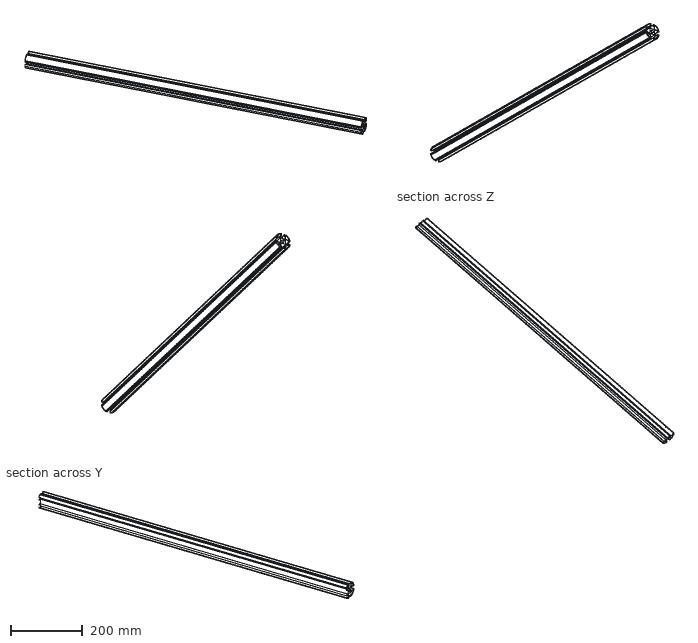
import math

import cadquery as cq

length = 1000.0
width = 45.0
half_width = width / 2
corner_radius = 24.0

side_count = 4
slot_opening = 9.2
chamber_width = 13.8
slot_floor = 8.0
lip_inner = 17.25
chamber_fillet = 2.0
lip_fillet = 1.0

side_wall = 1.3
outer_wall = 1.4
cell_inner = chamber_width / 2 + side_wall
cell_outer_radius = corner_radius - outer_wall
cell_fillet = 1.0

bore_diameter = 7.5

select_margin = 0.05


def section():
    """Plane of the bar's starting end: local x along +Y, local y along +Z."""
    return cq.Workplane("YZ").workplane(offset=-length / 2)


def bar_blank():
    """Square bar with its corners rounded by a cylinder about the axis."""
    square = section().rect(width, width).extrude(length)
    cylinder = section().circle(corner_radius).extrude(length)
    return square.intersect(cylinder)


def bore():
    return section().circle(bore_diameter / 2).extrude(length)


def slot_channel(channel_width, bottom, top):
    """Rectangular channel along the bar on the +Z side, between two heights."""
    height = top - bottom
    return section().center(0, bottom + height / 2).rect(channel_width, height).extrude(length)


def t_slot():
    """T-slot open to the +Z side: a rounded chamber and a narrower neck."""
    chamber = slot_channel(chamber_width, slot_floor, lip_inner).edges("|X").fillet(chamber_fillet)
    neck = slot_channel(slot_opening, slot_floor, half_width)
    return chamber.union(neck)


def corner_cell():
    """Hollow cell in the +Y +Z corner, bounded outside by a concentric arc."""
    cell_end = math.sqrt(cell_outer_radius**2 - cell_inner**2)
    arc_middle = cell_outer_radius / math.sqrt(2)
    return (
        section()
        .moveTo(cell_inner, cell_inner)
        .lineTo(cell_end, cell_inner)
        .threePointArc((arc_middle, arc_middle), (cell_inner, cell_end))
        .close()
        .extrude(length)
        .edges("|X")
        .fillet(cell_fillet)
    )


def round_lips(part):
    """Round the inner and outer edges of the two lips on the +Z side."""
    reach = slot_opening / 2 + select_margin
    neck_box = cq.selectors.BoxSelector(
        (-length, -reach, lip_inner - select_margin),
        (length, reach, half_width + select_margin),
    )
    return part.edges("|X").edges(neck_box).fillet(lip_fillet)


result = bar_blank().cut(bore())
for _ in range(side_count):
    result = round_lips(result.cut(t_slot()).cut(corner_cell()))
    result = result.rotate((0, 0, 0), (1, 0, 0), 360 / side_count)